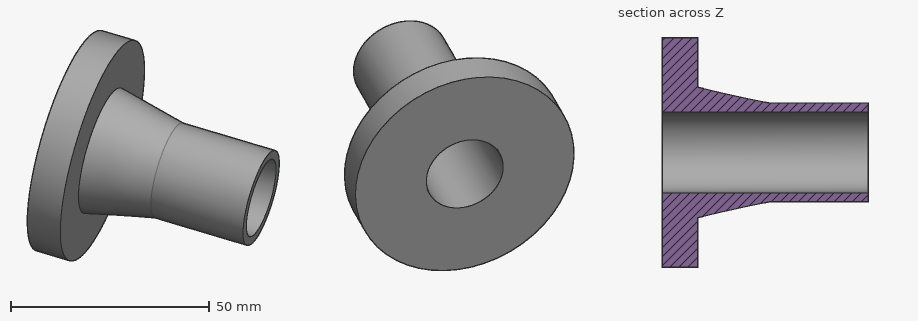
import cadquery as cq

flange_diameter = 58.0
flange_thickness = 9.0
hub_base_diameter = 33.0
hub_length = 18.0
pipe_diameter = 25.0
pipe_length = 25.0
bore_diameter = 20.4

hub_end = flange_thickness + hub_length
overall_length = hub_end + pipe_length


def make_body():
    """Revolve the flange, tapered hub and pipe end, bored right through."""
    bore_radius = bore_diameter / 2
    flange_radius = flange_diameter / 2
    hub_base_radius = hub_base_diameter / 2
    pipe_radius = pipe_diameter / 2
    half_section = (
        cq.Workplane("XZ")
        .moveTo(0, bore_radius)
        .lineTo(0, flange_radius)
        .lineTo(flange_thickness, flange_radius)
        .lineTo(flange_thickness, hub_base_radius)
        .lineTo(hub_end, pipe_radius)
        .lineTo(overall_length, pipe_radius)
        .lineTo(overall_length, bore_radius)
        .close()
    )
    return half_section.revolve(360, (0, 0, 0), (1, 0, 0))


result = make_body()